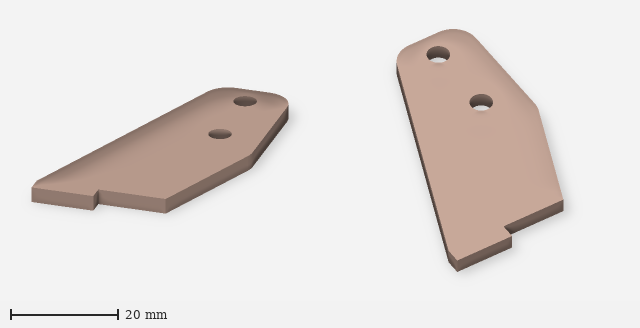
import cadquery as cq

width = 34.5
length = 53.0
thickness = 3.0

tab_width = 12.15
tab_height = 3.0
shoulder_end = 25.4

lean = 0.39
corner_radius = 5.0

hole_diameter = 4.4
hole_edge_distance = 8.25
hole_spacing = 15.0

top_left = ((length - tab_height) * lean, length)
top_right = (width, length)
right_bend = (width, tab_height + (width - shoulder_end) / lean)

plate = (
    cq.Workplane("XY")
    .polyline([
        (0, 0),
        (tab_width, 0),
        (tab_width, tab_height),
        (shoulder_end, tab_height),
        right_bend,
        top_right,
        top_left,
        (0, tab_height),
    ])
    .close()
    .extrude(thickness)
)

for x, y in (top_left, top_right, right_bend):
    corner = cq.selectors.NearestToPointSelector((x, y, thickness / 2))
    plate = plate.edges("|Z").edges(corner).fillet(corner_radius)

hole_x = width - hole_edge_distance
upper_hole_y = length - corner_radius
holes = (
    cq.Workplane("XY")
    .pushPoints([(hole_x, upper_hole_y), (hole_x, upper_hole_y - hole_spacing)])
    .circle(hole_diameter / 2)
    .extrude(thickness)
)

result = plate.cut(holes)